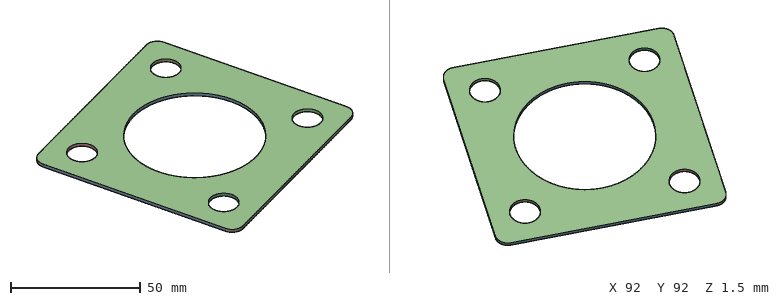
import cadquery as cq

side = 92.0
thickness = 1.5
corner_radius = 5.0
bore_diameter = 55.0
bolt_hole_diameter = 12.0
bolt_pitch = 63.7

plate = cq.Workplane("XY").box(side, side, thickness).edges("|Z").fillet(corner_radius)

plate = plate.faces(">Z").workplane().hole(bore_diameter)

result = (
    plate.faces(">Z")
    .workplane(origin=(0, 0, 0))
    .rarray(bolt_pitch, bolt_pitch, 2, 2)
    .hole(bolt_hole_diameter)
)